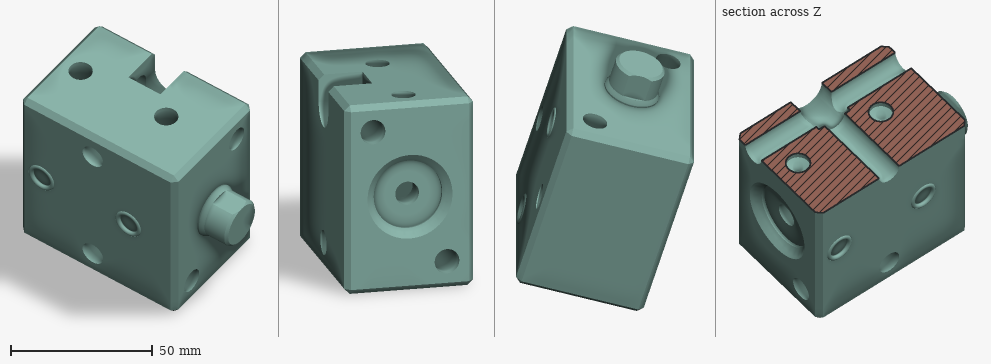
import cadquery as cq
import math

LENGTH = 68.0
WIDTH = 47.0
HEIGHT = 70.0
EDGE_CHAMFER = 2.0

AXIS_Y = 23.5
AXIS_Z = HEIGHT / 2

MOUNT_DIAMETER = 9.0
MOUNT_INSET = 10.0
CROSS_MOUNT_X = 32.0
SLOT_WIDTH = 14.0
SLOT_DEPTH = 16.0

PORT_XS = (9.5, 47.0)
PORT_DIAMETER = 8.6
PORT_DEPTH = 12.0
DRILL_POINT_ANGLE = 118.0

RING_XS = (9.5, 47.5)
RING_INSIDE_DIAMETER = 7.65
RING_SECTION = 1.78
RING_PROTRUSION = 0.48
RING_SEAT_DEPTH = RING_SECTION - RING_PROTRUSION
RING_SEAT_DIAMETER = RING_INSIDE_DIAMETER + 2 * RING_SECTION

CAP_DIAMETER = 25.0
MOUTH_DEPTH = 3.0
MOUTH_DIAMETER = CAP_DIAMETER + 2 * MOUTH_DEPTH
CAP_SINK = 4.2
CAP_THICKNESS = 12.0
CAP_HOLE_DIAMETER = 8.6
CAP_HOLE_DEPTH = 9.0

ROD_DIAMETER = 18.0
ROD_END_X = 80.0
ROD_INNER_X = 40.0
ROD_CHAMFER = 1.0
ROD_FLATS_WIDTH = 16.0

WIPER_DIAMETER = 20.0
WIPER_SEAT_DEPTH = 4.0
WIPER_RIM = 0.6
WIPER_PROTRUSION = 2.4


def x_cylinder(diameter, start, end, y=AXIS_Y, z=AXIS_Z):
    """Cylinder along X between two X positions."""
    return (
        cq.Workplane("YZ", origin=(start, y, z))
        .circle(diameter / 2)
        .extrude(end - start)
    )


def y_cylinder(diameter, start, end, x, z):
    """Cylinder along Y between two Y positions."""
    return (
        cq.Workplane("XZ", origin=(x, start, z))
        .circle(diameter / 2)
        .extrude(start - end)
    )


def revolve_about_cylinder_axis(profile):
    """Turn a closed profile of (X, radius) points about the cylinder axis."""
    return (
        cq.Workplane("XY", origin=(0, AXIS_Y, AXIS_Z))
        .polyline(profile)
        .close()
        .revolve(360, (0, 0, 0), (1, 0, 0))
    )


def port(x):
    """Drilled port with a conical bottom, going down from the top face."""
    radius = PORT_DIAMETER / 2
    point_depth = radius / math.tan(math.radians(DRILL_POINT_ANGLE / 2))
    profile = [
        (0, 0),
        (radius, 0),
        (radius, -PORT_DEPTH),
        (0, -PORT_DEPTH - point_depth),
    ]
    return (
        cq.Workplane("XZ", origin=(x, AXIS_Y, HEIGHT))
        .polyline(profile)
        .close()
        .revolve(360, (0, 0, 0), (0, 1, 0))
    )


def bolt_head_slot():
    """Round-bottomed slot, open to the top and back, over the upper cross mounting hole."""
    floor_y = WIDTH - SLOT_DEPTH
    center_z = HEIGHT - MOUNT_INSET
    round_bottom = y_cylinder(SLOT_WIDTH, floor_y, WIDTH, CROSS_MOUNT_X, center_z)
    straight_part = cq.Workplane("XY").box(
        SLOT_WIDTH, SLOT_DEPTH, MOUNT_INSET, centered=(True, False, False)
    )
    return round_bottom.union(straight_part.translate((CROSS_MOUNT_X, floor_y, center_z)))


def cap_bore():
    """Conical mouth followed by the straight bore that holds the cap."""
    bore_radius = CAP_DIAMETER / 2
    bore_end = CAP_SINK + CAP_THICKNESS
    return revolve_about_cylinder_axis([
        (0, 0),
        (0, MOUTH_DIAMETER / 2),
        (MOUTH_DEPTH, bore_radius),
        (bore_end, bore_radius),
        (bore_end, 0),
    ])


def make_housing():
    block = cq.Workplane("XY").box(LENGTH, WIDTH, HEIGHT, centered=False)
    block = block.edges().chamfer(EDGE_CHAMFER)

    upper_z = HEIGHT - MOUNT_INSET
    for y, z in ((WIDTH - MOUNT_INSET, upper_z), (MOUNT_INSET, MOUNT_INSET)):
        block = block.cut(x_cylinder(MOUNT_DIAMETER, 0, LENGTH, y, z))

    for z in (upper_z, MOUNT_INSET):
        block = block.cut(y_cylinder(MOUNT_DIAMETER, 0, WIDTH, CROSS_MOUNT_X, z))
    block = block.cut(bolt_head_slot())

    for x in PORT_XS:
        block = block.cut(port(x))
    for x in RING_XS:
        block = block.cut(y_cylinder(RING_SEAT_DIAMETER, 0, RING_SEAT_DEPTH, x, AXIS_Z))

    block = block.cut(cap_bore())
    block = block.cut(x_cylinder(ROD_DIAMETER, ROD_INNER_X, LENGTH))
    return block.cut(x_cylinder(WIPER_DIAMETER, LENGTH - WIPER_SEAT_DEPTH, LENGTH))


def make_cap():
    disc = x_cylinder(CAP_DIAMETER, CAP_SINK, CAP_SINK + CAP_THICKNESS)
    return disc.cut(x_cylinder(CAP_HOLE_DIAMETER, CAP_SINK, CAP_SINK + CAP_HOLE_DEPTH))


def make_rod():
    rod = x_cylinder(ROD_DIAMETER, ROD_INNER_X, ROD_END_X)
    rod = rod.faces(">X").chamfer(ROD_CHAMFER)

    flats_start = LENGTH + WIPER_PROTRUSION
    for side in (-1, 1):
        cutter = cq.Workplane("XY").box(
            ROD_END_X - flats_start, ROD_DIAMETER, ROD_DIAMETER, centered=(False, True, True)
        )
        offset = side * (ROD_FLATS_WIDTH + ROD_DIAMETER) / 2
        rod = rod.cut(cutter.translate((flats_start, AXIS_Y, AXIS_Z + offset)))
    return rod


def make_wiper():
    seat_x = LENGTH - WIPER_SEAT_DEPTH
    inner_radius = ROD_DIAMETER / 2
    outer_radius = WIPER_DIAMETER / 2
    return revolve_about_cylinder_axis([
        (seat_x, inner_radius),
        (seat_x, outer_radius),
        (LENGTH + WIPER_RIM, outer_radius),
        (LENGTH + WIPER_PROTRUSION, inner_radius),
    ])


def make_o_ring(x):
    center_y = RING_SECTION / 2 - RING_PROTRUSION
    center_radius = (RING_INSIDE_DIAMETER + RING_SECTION) / 2
    ring = cq.Solid.makeTorus(
        center_radius, RING_SECTION / 2, cq.Vector(x, center_y, AXIS_Z), cq.Vector(0, 1, 0)
    )
    return cq.Workplane(ring)


housing = make_housing()
cap = make_cap()
rod = make_rod()
wiper = make_wiper()
o_rings = [make_o_ring(x) for x in RING_XS]

result = cq.Compound.makeCompound([
    housing.val(),
    cap.val(),
    rod.val(),
    wiper.val(),
    *[ring.val() for ring in o_rings],
])